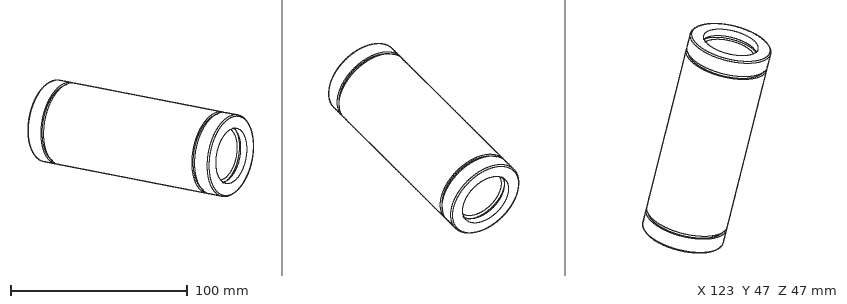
import cadquery as cq

length = 123.0
outer_diameter = 47.0
bore_diameter = 30.0
end_chamfer_length = 0.9
end_chamfer_depth = 0.7

outer_groove_diameter = 44.5
outer_groove_width = 1.8
outer_groove_offset = 9.3

seat_diameter = 31.7
seat_depth = 6.0
seat_groove_diameter = 34.7
seat_groove_width = 1.8


def disc(diameter, thickness, start):
    """Solid disc on the X axis, from X = start towards +X."""
    return cq.Workplane("YZ", origin=(start, 0, 0)).circle(diameter / 2).extrude(thickness)


def sleeve_blank():
    """Full-length cylinder with chamfered outer rims, before boring."""
    half_length = length / 2
    outer_radius = outer_diameter / 2
    face_radius = outer_radius - end_chamfer_depth
    shoulder = half_length - end_chamfer_length
    profile = [
        (-half_length, 0),
        (-half_length, face_radius),
        (-shoulder, outer_radius),
        (shoulder, outer_radius),
        (half_length, face_radius),
        (half_length, 0),
    ]
    return cq.Workplane("XY").polyline(profile).close().revolve(360, (0, 0, 0), (1, 0, 0))


def left_end_cuts():
    """Material removed at the -X end: outer groove, seat and seat groove."""
    end = -length / 2
    groove_start = end + outer_groove_offset
    outer_groove = disc(outer_diameter, outer_groove_width, groove_start).cut(
        disc(outer_groove_diameter, outer_groove_width, groove_start)
    )
    seat = disc(seat_diameter, seat_depth, end)
    seat_groove = disc(seat_groove_diameter, seat_groove_width, end + seat_depth - seat_groove_width)
    return [outer_groove, seat, seat_groove]


result = sleeve_blank().cut(disc(bore_diameter, length, -length / 2))
for end_cut in left_end_cuts():
    result = result.cut(end_cut).cut(end_cut.mirror("YZ"))